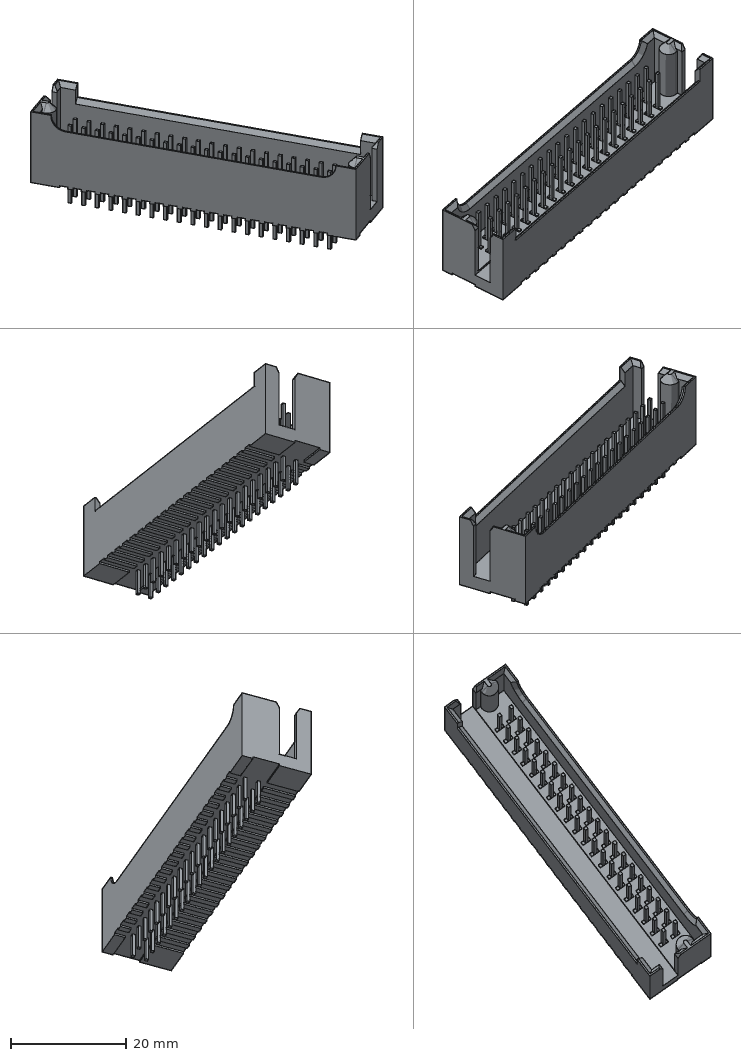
import cadquery as cq
import math


LENGTH = 60.45
DEPTH = 13.1
HEIGHT = 13.85
SIDE_WALL = 1.1
END_WALL = 0.95
FLOOR = 2.55
RIM = 0.3
LEAD_IN_DROP = 0.9

TAB_LENGTH = 3.75
NOTCH_DEPTH = 2.7
SLOT_FRONT = 7.1
SLOT_WIDTH = 3.25
SLOT_LEAD_IN = 0.6
SLOT_LEAD_IN_DROP = 1.1

COLUMNS = 20
PITCH = 2.55
PIN_WIDTH = 0.6
PIN_THICKNESS = 0.55
PIN_TOP = 10.8
PIN_TAIL = 4.3
ROW_CENTRE = 4.5
SHOULDER_WIDTH = 1.65
SHOULDER_HEIGHT = 0.25
STEP_HEIGHT = 0.35

CHANNEL_DEPTH = 0.35
CHANNEL_FRONT = 2.05
CHANNEL_WIDTH = 1.5

BOSS_RADIUS = 1.65
BOSS_INSET = 1.3
BOSS_TIP_RADIUS = 0.35
BOSS_TIP_HEIGHT = 1.3

INNER_LENGTH = LENGTH - 2 * END_WALL
INNER_DEPTH = DEPTH - 2 * SIDE_WALL
NOTCH_LENGTH = LENGTH - 2 * TAB_LENGTH
RIM_LEAD_IN = SIDE_WALL - RIM
COLUMN_XS = [(i - (COLUMNS - 1) / 2) * PITCH for i in range(COLUMNS)]
ROW_YS = [ROW_CENTRE - PITCH / 2, ROW_CENTRE + PITCH / 2]


def block(size_x, size_y, size_z, x, y, z):
    """Box centred on x, starting at y and z."""
    return cq.Workplane("XY").box(size_x, size_y, size_z, centered=(True, False, False)).translate((x, y, z))


def shroud():
    """Open-topped box with a lead-in around the inner rim."""
    body = block(LENGTH, DEPTH, HEIGHT, 0, 0, 0)
    cavity = block(INNER_LENGTH, INNER_DEPTH, HEIGHT, 0, SIDE_WALL, FLOOR)
    lead_in = (
        cq.Workplane("XY", origin=(0, DEPTH / 2, HEIGHT - LEAD_IN_DROP))
        .rect(INNER_LENGTH, INNER_DEPTH)
        .workplane(offset=LEAD_IN_DROP)
        .rect(LENGTH - 2 * RIM, DEPTH - 2 * RIM)
        .loft(ruled=True)
    )
    step = block(INNER_LENGTH, SLOT_FRONT - SIDE_WALL, STEP_HEIGHT, 0, SIDE_WALL, FLOOR)
    return body.cut(cavity).cut(lead_in).union(step)


def front_notch():
    """Notch with quarter-round ends, widening inward behind the rim."""
    half = NOTCH_LENGTH / 2
    radius = NOTCH_DEPTH
    diagonal = radius * math.sqrt(0.5)
    bottom = HEIGHT - radius

    def profile(y):
        return (
            cq.Workplane("XZ", origin=(0, y, 0))
            .moveTo(-half, HEIGHT)
            .threePointArc((radius - half - diagonal, HEIGHT - diagonal), (radius - half, bottom))
            .lineTo(half - radius, bottom)
            .threePointArc((half - radius + diagonal, HEIGHT - diagonal), (half, HEIGHT))
            .close()
        )

    flare = math.degrees(math.atan(LEAD_IN_DROP / RIM_LEAD_IN))
    straight = profile(SIDE_WALL).extrude(SIDE_WALL)
    flared = profile(RIM).extrude(-RIM_LEAD_IN, taper=-flare)
    return straight.union(flared)


def back_notch():
    """Square-ended notch with the rim's lead-in along its lower edge."""
    bottom = HEIGHT - NOTCH_DEPTH
    inner = DEPTH - SIDE_WALL
    return (
        cq.Workplane("YZ", origin=(-NOTCH_LENGTH / 2, 0, 0))
        .polyline([
            (inner, HEIGHT),
            (inner, bottom - LEAD_IN_DROP),
            (DEPTH - RIM, bottom),
            (DEPTH, bottom),
            (DEPTH, HEIGHT),
        ])
        .close()
        .extrude(NOTCH_LENGTH)
    )


def end_slots():
    """Slot through both end walls down to the floor, with a lead-in at its mouth."""
    slot_back = SLOT_FRONT + SLOT_WIDTH
    return (
        cq.Workplane("YZ", origin=(-LENGTH / 2, 0, 0))
        .polyline([
            (SLOT_FRONT, FLOOR),
            (SLOT_FRONT, HEIGHT - SLOT_LEAD_IN_DROP),
            (SLOT_FRONT - SLOT_LEAD_IN, HEIGHT),
            (slot_back + SLOT_LEAD_IN, HEIGHT),
            (slot_back, HEIGHT - SLOT_LEAD_IN_DROP),
            (slot_back, FLOOR),
        ])
        .close()
        .extrude(LENGTH)
    )


def boss(side):
    """Round-nosed boss on one end wall (side is -1 or +1), tapering to a narrow tip."""
    tip_base = HEIGHT - BOSS_TIP_HEIGHT
    taper = math.degrees(math.atan((BOSS_RADIUS - BOSS_TIP_RADIUS) / BOSS_TIP_HEIGHT))
    nose_x = side * (LENGTH / 2 - BOSS_INSET)
    root_x = side * (LENGTH / 2 + BOSS_RADIUS)

    def profile(z):
        return (
            cq.Workplane("XY", origin=(0, ROW_CENTRE, z))
            .moveTo(root_x, -BOSS_RADIUS)
            .lineTo(nose_x, -BOSS_RADIUS)
            .threePointArc((nose_x - side * BOSS_RADIUS, 0), (nose_x, BOSS_RADIUS))
            .lineTo(root_x, BOSS_RADIUS)
            .close()
        )

    column = profile(FLOOR).extrude(tip_base - FLOOR)
    tip = profile(tip_base).extrude(BOSS_TIP_HEIGHT, taper=taper)
    return column.union(tip).intersect(block(LENGTH, DEPTH, HEIGHT, 0, 0, 0))


def underside_channels():
    """One channel along the pin field and one across the housing under each pin column."""
    channels = block(LENGTH, SLOT_FRONT - CHANNEL_FRONT, CHANNEL_DEPTH, 0, CHANNEL_FRONT, 0)
    for x in COLUMN_XS:
        channels = channels.union(block(CHANNEL_WIDTH, DEPTH, CHANNEL_DEPTH, x, 0, 0))
    return channels


def pins():
    """Straight pins through the floor, each with a low shoulder where it leaves the floor."""
    positions = [(x, y) for x in COLUMN_XS for y in ROW_YS]
    posts = (
        cq.Workplane("XY", origin=(0, 0, -PIN_TAIL))
        .pushPoints(positions)
        .rect(PIN_WIDTH, PIN_THICKNESS)
        .extrude(PIN_TAIL + PIN_TOP)
    )
    shoulders = (
        cq.Workplane("XY", origin=(0, 0, FLOOR))
        .pushPoints(positions)
        .rect(PIN_WIDTH, SHOULDER_WIDTH)
        .extrude(STEP_HEIGHT + SHOULDER_HEIGHT)
    )
    return posts.union(shoulders)


result = shroud().cut(front_notch()).cut(back_notch()).cut(end_slots())
for end in (-1, 1):
    result = result.union(boss(end))
result = result.cut(underside_channels()).union(pins())